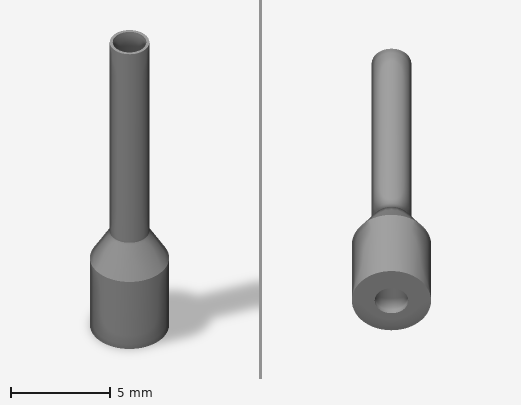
import cadquery as cq

total_height = 18.0
tube_diameter = 2.0
bore_diameter = 1.7
collar_diameter = 4.0
collar_straight_height = 4.27
collar_height = 6.0


def make_tube():
    """Plain tube running through the whole ferrule."""
    return (
        cq.Workplane("XY")
        .circle(tube_diameter / 2)
        .circle(bore_diameter / 2)
        .extrude(total_height)
    )


def make_collar():
    """Collar that fits around the tube and tapers to the tube's surface."""
    inner_radius = tube_diameter / 2
    outer_radius = collar_diameter / 2
    half_section = (
        cq.Workplane("XZ")
        .moveTo(inner_radius, 0)
        .lineTo(outer_radius, 0)
        .lineTo(outer_radius, collar_straight_height)
        .lineTo(inner_radius, collar_height)
        .close()
    )
    return half_section.revolve(360, (0, 0, 0), (0, 1, 0))


tube = make_tube()
collar = make_collar()

result = cq.Compound.makeCompound([tube.val(), collar.val()])